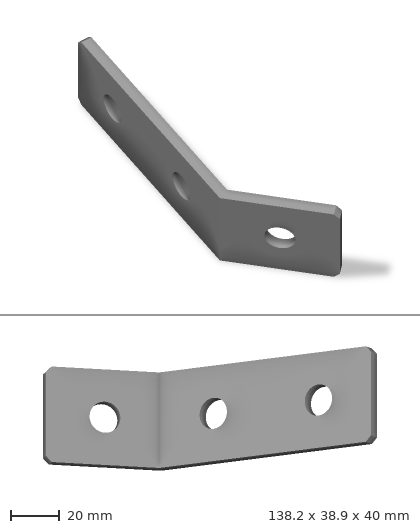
import cadquery as cq
import math

overall_length = 138.2
height = 40.0
thickness = 5.0
bend_angle = 45.0
arm_length = 50.0
corner_chamfer = 2.5
hole_diameter = 13.0
base_hole_positions = (25.0, 75.0)
arm_hole_from_tip = 25.0

bend_x = overall_length - arm_length * math.cos(math.radians(bend_angle))
inner_setback = thickness * math.tan(math.radians(bend_angle / 2))


def make_leg(start_x, end_x, inner_start_x, inner_end_x, chamfered_end, hole_positions):
    """Flat leg along X with mitred bend end, chamfered free end and through holes."""
    leg = (
        cq.Workplane("XY")
        .polyline([(start_x, 0), (end_x, 0), (inner_end_x, thickness), (inner_start_x, thickness)])
        .close()
        .extrude(height)
    )
    leg = leg.faces(chamfered_end).edges("|Y").chamfer(corner_chamfer)
    holes = (
        cq.Workplane("XZ")
        .pushPoints([(x, height / 2) for x in hole_positions])
        .circle(hole_diameter / 2)
        .extrude(-thickness)
    )
    return leg.cut(holes)


base = make_leg(0, bend_x, 0, bend_x - inner_setback, "<X", base_hole_positions)

arm = make_leg(0, arm_length, inner_setback, arm_length, ">X", [arm_length - arm_hole_from_tip])
arm = arm.rotate((0, 0, 0), (0, 0, 1), bend_angle).translate((bend_x, 0, 0))

result = base.union(arm)